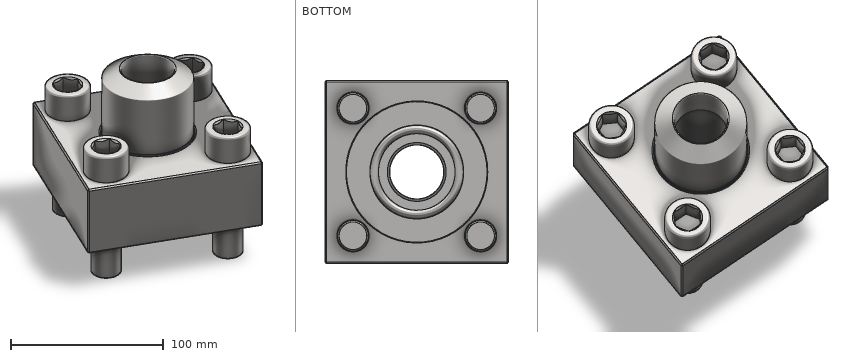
import cadquery as cq
import math

PLATE_SIDE = 120.0
PLATE_THICKNESS = 48.3
EDGE_CHAMFER = 1.0
PLATE_BORE_DIAMETER = 61.9
RECESS_DIAMETER = 93.0

NECK_DIAMETER = 60.3
NECK_TIP_DIAMETER = 37.1
NECK_BEVEL_ANGLE = 30.0
NECK_RISE = 48.0
NECK_EDGE_FILLET = 0.5
SHOULDER_DIAMETER = 61.5
SHOULDER_RISE = 0.4
NARROW_PASSAGE_DIAMETER = 35.3
NARROW_PASSAGE_LENGTH = 23.6
WIDE_PASSAGE_DIAMETER = 38.5
COLLAR_DIAMETER = 92.0
COLLAR_HEIGHT = 17.2
COLLAR_PROTRUSION = 1.7

RING_INNER_DIAMETER = 50.2
RING_OUTER_DIAMETER = 61.0
RING_PROTRUSION = 1.4
GROOVE_OUTER_DIAMETER = 61.5

SCREW_CIRCLE_DIAMETER = 118.1
SHANK_DIAMETER = 20.0
SHANK_LENGTH = 75.0
SHANK_CHAMFER = 1.0
SCREW_HOLE_DIAMETER = 21.0
HEAD_DIAMETER = 30.0
HEAD_HEIGHT = 20.0
HEAD_FILLET = 2.0
SOCKET_DIAMETER = 19.7
SOCKET_DEPTH = 15.0
SOCKET_CONE_ANGLE = 45.0

screw_offset = SCREW_CIRCLE_DIAMETER / 2 / math.sqrt(2)
neck_top = PLATE_THICKNESS + NECK_RISE
collar_bottom = -COLLAR_PROTRUSION
collar_top = collar_bottom + COLLAR_HEIGHT
ring_section_diameter = (RING_OUTER_DIAMETER - RING_INNER_DIAMETER) / 2
groove_depth = ring_section_diameter - RING_PROTRUSION


def cylinder(diameter, bottom, top):
    """Upright cylinder on the Z axis."""
    return cq.Workplane("XY").workplane(offset=bottom).circle(diameter / 2).extrude(top - bottom)


def make_plate():
    """Chamfered square plate with a stepped bore and four screw holes."""
    block = cq.Workplane("XY").box(
        PLATE_SIDE, PLATE_SIDE, PLATE_THICKNESS, centered=(True, True, False)
    )
    block = block.edges().chamfer(EDGE_CHAMFER)
    bored = block.cut(cylinder(PLATE_BORE_DIAMETER, 0, PLATE_THICKNESS))
    bored = bored.faces(">Z").edges("%CIRCLE").chamfer(EDGE_CHAMFER)
    recess = cylinder(RECESS_DIAMETER, 0, collar_top)
    screw_holes = (
        cq.Workplane("XY")
        .rect(2 * screw_offset, 2 * screw_offset, forConstruction=True)
        .vertices()
        .circle(SCREW_HOLE_DIAMETER / 2)
        .extrude(PLATE_THICKNESS)
    )
    return bored.cut(recess).cut(screw_holes)


def make_insert():
    """Revolved weld insert with a ring groove in the underside of its collar."""
    neck_radius = NECK_DIAMETER / 2
    tip_radius = NECK_TIP_DIAMETER / 2
    shoulder_radius = SHOULDER_DIAMETER / 2
    shoulder_top = PLATE_THICKNESS + SHOULDER_RISE
    bevel_bottom = neck_top - (neck_radius - tip_radius) * math.tan(math.radians(NECK_BEVEL_ANGLE))
    body = (
        cq.Workplane("XZ")
        .moveTo(WIDE_PASSAGE_DIAMETER / 2, collar_bottom)
        .lineTo(COLLAR_DIAMETER / 2, collar_bottom)
        .lineTo(COLLAR_DIAMETER / 2, collar_top)
        .lineTo(shoulder_radius, collar_top)
        .lineTo(shoulder_radius, shoulder_top)
        .lineTo(neck_radius, shoulder_top)
        .lineTo(neck_radius, bevel_bottom)
        .lineTo(tip_radius, neck_top)
        .lineTo(NARROW_PASSAGE_DIAMETER / 2, neck_top)
        .lineTo(NARROW_PASSAGE_DIAMETER / 2, neck_top - NARROW_PASSAGE_LENGTH)
        .lineTo(WIDE_PASSAGE_DIAMETER / 2, neck_top - NARROW_PASSAGE_LENGTH)
        .close()
        .revolve(360, (0, 0, 0), (0, 1, 0))
    )
    bevel_edge = cq.selectors.NearestToPointSelector((0, 0, bevel_bottom))
    tip_bore_edge = cq.selectors.RadiusNthSelector(0)
    body = body.edges(bevel_edge).fillet(NECK_EDGE_FILLET)
    body = body.faces(">Z").edges(tip_bore_edge).fillet(NECK_EDGE_FILLET)
    groove_top = collar_bottom + groove_depth
    groove = cylinder(GROOVE_OUTER_DIAMETER, collar_bottom, groove_top).cut(
        cylinder(RING_INNER_DIAMETER, collar_bottom, groove_top)
    )
    return body.cut(groove)


def make_ring():
    """Round-section sealing ring seated on the groove floor."""
    section_radius = ring_section_diameter / 2
    centre_radius = RING_INNER_DIAMETER / 2 + section_radius
    return (
        cq.Workplane("XZ")
        .center(centre_radius, collar_bottom + groove_depth - section_radius)
        .circle(section_radius)
        .revolve(360, (-centre_radius, 0, 0), (-centre_radius, 1, 0))
    )


def make_screw():
    """Socket head screw on the Z axis, its head resting on Z = 0."""
    head = cylinder(HEAD_DIAMETER, 0, HEAD_HEIGHT).edges().fillet(HEAD_FILLET)
    shank = cylinder(SHANK_DIAMETER, -SHANK_LENGTH, 0).faces("<Z").chamfer(SHANK_CHAMFER)
    socket = (
        cq.Workplane("XY")
        .workplane(offset=HEAD_HEIGHT - SOCKET_DEPTH)
        .polygon(6, SOCKET_DIAMETER)
        .extrude(SOCKET_DEPTH)
    )
    cone_radius = SOCKET_DIAMETER / 2
    cone_depth = cone_radius * math.tan(math.radians(SOCKET_CONE_ANGLE))
    lead_in = cq.Workplane("XY").add(
        cq.Solid.makeCone(0, cone_radius, cone_depth, pnt=cq.Vector(0, 0, HEAD_HEIGHT - cone_depth))
    )
    return head.union(shank).cut(socket).cut(lead_in)


def make_screws():
    """Four screws, each turned a quarter turn from the one before it."""
    first = make_screw().translate((screw_offset, screw_offset, PLATE_THICKNESS))
    return [first.rotate((0, 0, 0), (0, 0, 1), 90 * turn) for turn in range(4)]


plate = make_plate()
insert = make_insert()
ring = make_ring()
screws = make_screws()

result = cq.Compound.makeCompound(
    [plate.val(), insert.val(), ring.val(), *[screw.val() for screw in screws]]
)